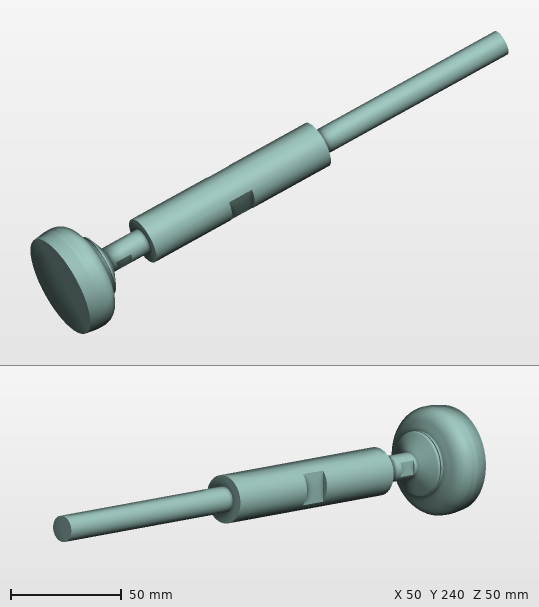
import cadquery as cq
import math

total_length = 240

rod_diameter = 12
stem_flat_start = 27.0
stem_flat_length = 8.0
stem_across_flats = 10.0

sleeve_diameter = 22.0
sleeve_start = 45.0
sleeve_end = 140.0
sleeve_flat_length = 12.5
sleeve_across_flats = 16.8

foot_diameter = 50.0
base_diameter = 48.2
base_taper_height = 5.8
rim_top = 9.0
shoulder_radius = 7.7
shoulder_slope = 18
collar_diameter = 29.8
groove_bottom = 19.0
groove_top = 19.7
groove_depth = 0.7
lip_radius = 1.2
cone_slope = 29


def cylinder_along_y(diameter, start, end):
    disc = cq.Workplane("XZ", origin=(0, start, 0)).circle(diameter / 2)
    return disc.extrude(start - end)


def flats_cutter(start, length, across_flats, diameter):
    """Two blocks that leave parallel flats facing -X and +X on a round bar."""
    outer = cq.Workplane("XY").box(2 * diameter, length, 2 * diameter)
    core = cq.Workplane("XY").box(across_flats, length, 2 * diameter)
    return outer.cut(core).translate((0, start + length / 2, 0))


def point_on_round(outer_radius, start_height, round_radius, angle):
    """Profile point on a rounded edge that starts upright at start_height and turns inward by angle degrees."""
    turn = math.radians(angle)
    x = outer_radius - round_radius * (1 - math.cos(turn))
    y = start_height + round_radius * math.sin(turn)
    return (x, y)


def height_on_slope(start, radius, slope):
    """Height where a line rising inward from start reaches the given radius."""
    return start[1] + (start[0] - radius) * math.tan(math.radians(slope))


def make_foot():
    foot_radius = foot_diameter / 2
    collar_radius = collar_diameter / 2
    groove_radius = collar_radius - groove_depth
    rod_radius = rod_diameter / 2

    shoulder_angle = 90 - shoulder_slope
    shoulder_middle = point_on_round(foot_radius, rim_top, shoulder_radius, shoulder_angle / 2)
    shoulder_end = point_on_round(foot_radius, rim_top, shoulder_radius, shoulder_angle)
    collar_bottom = height_on_slope(shoulder_end, collar_radius, shoulder_slope)

    lip_angle = 90 - cone_slope
    lip_middle = point_on_round(collar_radius, groove_top, lip_radius, lip_angle / 2)
    lip_end = point_on_round(collar_radius, groove_top, lip_radius, lip_angle)
    cone_top = height_on_slope(lip_end, rod_radius, cone_slope)

    profile = (
        cq.Workplane("XY")
        .moveTo(0, 0)
        .lineTo(base_diameter / 2, 0)
        .lineTo(foot_radius, base_taper_height)
        .lineTo(foot_radius, rim_top)
        .threePointArc(shoulder_middle, shoulder_end)
        .lineTo(collar_radius, collar_bottom)
        .lineTo(collar_radius, groove_bottom)
        .lineTo(groove_radius, groove_bottom)
        .lineTo(groove_radius, groove_top)
        .lineTo(collar_radius, groove_top)
        .threePointArc(lip_middle, lip_end)
        .lineTo(rod_radius, cone_top)
        .lineTo(0, cone_top)
        .close()
    )
    return profile.revolve(360, (0, 0, 0), (0, 1, 0))


def make_spindle():
    """The foot, stem and rod as one turned piece."""
    rod = cylinder_along_y(rod_diameter, groove_top, total_length)
    flats = flats_cutter(stem_flat_start, stem_flat_length, stem_across_flats, rod_diameter)
    return make_foot().union(rod).cut(flats)


def make_sleeve():
    outside = cylinder_along_y(sleeve_diameter, sleeve_start, sleeve_end)
    bore = cylinder_along_y(rod_diameter, sleeve_start, sleeve_end)
    flat_start = (sleeve_start + sleeve_end - sleeve_flat_length) / 2
    flats = flats_cutter(flat_start, sleeve_flat_length, sleeve_across_flats, sleeve_diameter)
    return outside.cut(bore).cut(flats)


spindle = make_spindle()
sleeve = make_sleeve()

result = cq.Compound.makeCompound([*spindle.solids().vals(), *sleeve.solids().vals()])